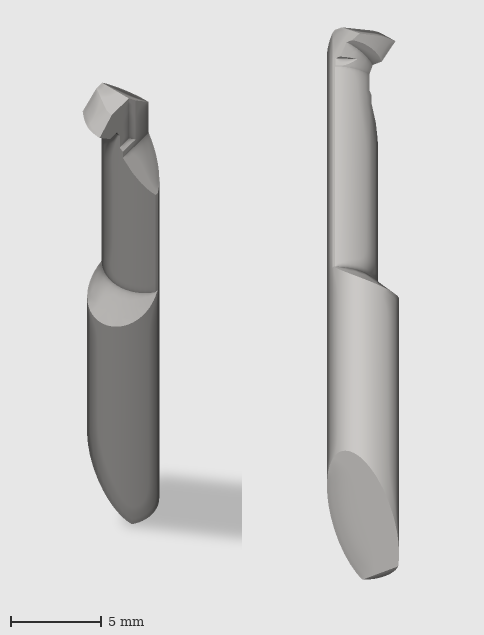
import cadquery as cq
import math

SHANK_RADIUS = 2.0
SHANK_TOP = 18.0
TOTAL_LENGTH = 33.0
OBLIQUE_ANGLE = 30.0
BOTTOM_CUT_HEIGHT = 6.15

NECK_HALF_WIDTH = 1.877
NECK_ARC_RADIUS = 2.41
NECK_FRONT_Y = -0.4
NECK_AXIS_Y = NECK_FRONT_Y + NECK_ARC_RADIUS

FLARE_BOTTOM = 30.6
FLARE_ANGLE = 25.0
FACET_TOP = 31.1
FACET_START = (-1.87, 0.45)
FACET_END = (-1.05, -0.415)

RAKE_X = 0.06
CLEARANCE_X = 0.27
CLEARANCE_BOTTOM = 28.9
RAKE_BACK_Y = 0.45
RAKE_RUNOUT_Y = 0.78
RAKE_BOTTOM = 29.63
RAKE_RUNOUT_Z = 29.4

HEAD_RADIUS = 2.25
LIP_Z = 32.1
CEILING_WALL_Z = 31.85
CEILING_RAKE_Z = 31.15
TOP_DROP = 0.1
TOP_BACK_Y = 0.43
BACK_ANGLE = 45.0
HEAD_BACK_Y = 0.6
TIP_BEVEL_POINT = (RAKE_X, -1.14, TOTAL_LENGTH)
TIP_BEVEL_DIRECTION = -11.0
TIP_BEVEL_SLOPE = 0.83
SIDE_BEVEL_POINT = (-NECK_HALF_WIDTH, 0.02, TOTAL_LENGTH - TOP_DROP)
SIDE_BEVEL_DIRECTION = -38.0
SIDE_BEVEL_SLOPE = 0.8
BEVEL_BLEND_RADIUS = 2.2

HEAD_BLANK = 10.0
STOCK = 80.0


def half_space(point, normal):
    """Large block filling the side of a plane that its normal points to."""
    return cq.Workplane(cq.Plane(point, normal=normal)).rect(STOCK, STOCK).extrude(STOCK)


def cylinder(radius, bottom, top):
    return cq.Workplane("XY").workplane(offset=bottom).circle(radius).extrude(top - bottom)


def frustum(axis_y, bottom_radius, top_radius, bottom, top):
    """Cone frustum about a vertical axis at X = 0."""
    height = top - bottom
    cone = cq.Solid.makeCone(bottom_radius, top_radius, height, cq.Vector(0, axis_y, bottom))
    return cq.Workplane(cone)


def trim_to_flats(body):
    slab = cq.Workplane("XY").box(2 * NECK_HALF_WIDTH, STOCK, 2 * STOCK)
    return body.intersect(slab)


def make_shank():
    """Bar with a 45 degree conical shoulder concentric with the neck arc."""
    bar = cylinder(SHANK_RADIUS, 0, SHANK_TOP)
    shoulder = frustum(NECK_AXIS_Y, NECK_ARC_RADIUS + SHANK_TOP, NECK_ARC_RADIUS, 0, SHANK_TOP)
    angle = math.radians(OBLIQUE_ANGLE)
    bottom_cut = half_space(
        (-SHANK_RADIUS, 0, BOTTOM_CUT_HEIGHT), (-math.cos(angle), 0, -math.sin(angle))
    )
    return bar.intersect(shoulder).cut(bottom_cut)


def make_neck():
    bar = cylinder(SHANK_RADIUS, SHANK_TOP, TOTAL_LENGTH)
    arc = cylinder(NECK_ARC_RADIUS, SHANK_TOP, TOTAL_LENGTH).translate((0, NECK_AXIS_Y, 0))
    return trim_to_flats(bar.intersect(arc))


def make_flare():
    growth = (LIP_Z - FLARE_BOTTOM) * math.tan(math.radians(FLARE_ANGLE))
    flare = frustum(NECK_AXIS_Y, NECK_ARC_RADIUS, NECK_ARC_RADIUS + growth, FLARE_BOTTOM, LIP_Z)
    flare = trim_to_flats(flare.intersect(cylinder(SHANK_RADIUS, FLARE_BOTTOM, LIP_Z)))
    run_x = FACET_END[0] - FACET_START[0]
    run_y = FACET_END[1] - FACET_START[1]
    facet = half_space((*FACET_START, FACET_TOP), (run_y, -run_x, 0))
    return flare.cut(facet.intersect(half_space((0, 0, FACET_TOP), (0, 0, -1))))


def bevel_normal(direction, slope):
    """Upward normal of a plane falling to -Y, from its level-line angle and its slope."""
    angle = math.radians(direction)
    return (slope * math.sin(angle), -slope * math.cos(angle), 1)


def make_bevel_wedge():
    """Body below the tip bevel and the side bevel, their common edge rounded."""
    side_normal = bevel_normal(SIDE_BEVEL_DIRECTION, SIDE_BEVEL_SLOPE)
    tip_normal = bevel_normal(TIP_BEVEL_DIRECTION, TIP_BEVEL_SLOPE)
    block = cq.Workplane("XY").box(HEAD_BLANK, HEAD_BLANK, HEAD_BLANK)
    block = block.translate((0, 0, TOTAL_LENGTH))
    wedge = block.cut(half_space(SIDE_BEVEL_POINT, side_normal))
    wedge = wedge.cut(half_space(TIP_BEVEL_POINT, tip_normal))
    common_edge = cq.Vector(*side_normal).cross(cq.Vector(*tip_normal))
    return wedge.edges(cq.selectors.ParallelDirSelector(common_edge)).fillet(BEVEL_BLEND_RADIUS)


def make_head_back():
    """Part of the head that continues the neck section up to the top."""
    return make_neck().cut(half_space((0, HEAD_BACK_Y, TOTAL_LENGTH), (0, -1, 0)))


def make_head():
    """Disc with a 45 degree conical flank below the lip and a sloping underside."""
    flank_height = HEAD_RADIUS / 2
    flank = frustum(0, HEAD_RADIUS - flank_height, HEAD_RADIUS, LIP_Z - flank_height, LIP_Z)
    disc = flank.union(cylinder(HEAD_RADIUS, LIP_Z, TOTAL_LENGTH))
    underside_fall = CEILING_WALL_Z - CEILING_RAKE_Z
    underside = half_space((0, 0, CEILING_RAKE_Z), (-underside_fall, 0, -NECK_HALF_WIDTH))
    head = trim_to_flats(disc.cut(underside)).intersect(make_bevel_wedge())
    return head.cut(half_space((0, HEAD_BACK_Y, LIP_Z), (0, 1, 0))).union(make_head_back())


def trim_top(body):
    """Slope the top face towards -X and the back face towards +Y."""
    top = half_space((RAKE_X, 0, TOTAL_LENGTH), (-TOP_DROP, 0, NECK_HALF_WIDTH + RAKE_X))
    angle = math.radians(BACK_ANGLE)
    back = half_space((0, TOP_BACK_Y, TOTAL_LENGTH), (0, math.sin(angle), math.cos(angle)))
    return body.cut(top).cut(back)


def cut_clearance(body):
    """Remove the +X half of the neck, with an oblique run-out at the bottom."""
    slope = math.tan(math.radians(OBLIQUE_ANGLE))
    far_x = CLEARANCE_X + SHANK_RADIUS
    end_z = CLEARANCE_BOTTOM - SHANK_RADIUS / slope
    outline = [
        (CLEARANCE_X, TOTAL_LENGTH),
        (CLEARANCE_X, CLEARANCE_BOTTOM),
        (far_x, end_z),
        (far_x, TOTAL_LENGTH),
    ]
    return body.cut(cq.Workplane("XZ").polyline(outline).close().extrude(STOCK / 2, both=True))


def cut_rake_face(body):
    """Grind the rake face, running out obliquely at its back and bottom."""
    plan = [
        (RAKE_X, -2 * SHANK_RADIUS),
        (RAKE_X, RAKE_BACK_Y),
        (CLEARANCE_X, RAKE_RUNOUT_Y),
        (SHANK_RADIUS, RAKE_RUNOUT_Y),
        (SHANK_RADIUS, -2 * SHANK_RADIUS),
    ]
    groove = cq.Workplane("XY").workplane(offset=CLEARANCE_BOTTOM).polyline(plan).close()
    groove = groove.extrude(TOTAL_LENGTH - CLEARANCE_BOTTOM)
    bottom = half_space((RAKE_X, 0, RAKE_BOTTOM), (RAKE_RUNOUT_Z - RAKE_BOTTOM, 0, RAKE_X - CLEARANCE_X))
    return body.cut(groove.cut(bottom))


tool = make_neck().intersect(half_space((0, 0, LIP_Z), (0, 0, -1)))
tool = tool.union(make_flare()).union(make_head())
tool = cut_rake_face(cut_clearance(trim_top(tool)))
result = tool.union(make_shank())